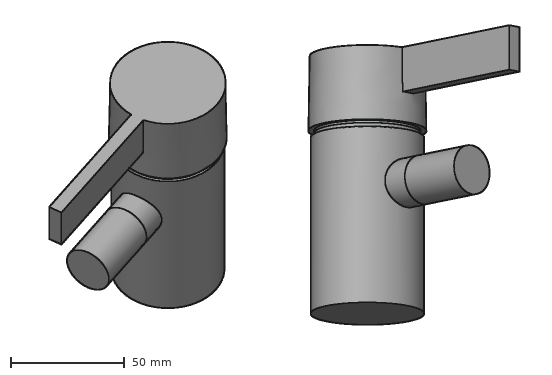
import cadquery as cq


housing_radius = 25.0
housing_height = 79.0
neck_radius = 23.6
neck_height = 1.9

total_height = 115.4
cap_bottom_radius = 26.0
cap_top_radius = 25.5
spigot_height = 1.1
neck_top = housing_height + neck_height
cap_bottom = neck_top + spigot_height
cap_height = total_height - cap_bottom

total_depth = 119.0
lever_width = 6.4
lever_height = 20.0
lever_reach = total_depth - cap_bottom_radius

spout_radius = 11.0
spout_axis_height = 55.0
socket_reach = 35.0
nozzle_reach = 66.0


def make_housing():
    """Plain cylinder with a narrower neck on top."""
    barrel = cq.Workplane("XY").circle(housing_radius).extrude(housing_height)
    return barrel.faces(">Z").workplane().circle(neck_radius).extrude(neck_height)


def make_lever_cap():
    """Tapered cap with a flat lever, and a short spigot standing on the neck."""
    spigot = cq.Workplane("XY").workplane(offset=neck_top).circle(neck_radius).extrude(spigot_height)
    cap = (
        cq.Workplane("XY")
        .workplane(offset=cap_bottom)
        .circle(cap_bottom_radius)
        .workplane(offset=cap_height)
        .circle(cap_top_radius)
        .loft(ruled=True)
    )
    lever = (
        cq.Workplane("XY")
        .workplane(offset=total_height - lever_height)
        .center(0, -lever_reach / 2)
        .rect(lever_width, lever_reach)
        .extrude(lever_height)
    )
    return cap.union(lever).union(spigot)


def spout_cylinder(start, end):
    """Cylinder on the spout axis between two distances from the housing axis."""
    axis_start = cq.Vector(0, -start, spout_axis_height)
    return cq.Workplane(cq.Solid.makeCylinder(spout_radius, end - start, axis_start, cq.Vector(0, -1, 0)))


def make_socket(housing):
    """Spout socket whose inner end is curved to sit against the housing."""
    return spout_cylinder(0, socket_reach).cut(housing)


def make_nozzle():
    """Outer length of the spout."""
    return spout_cylinder(socket_reach, nozzle_reach)


housing = make_housing()
lever_cap = make_lever_cap()
socket = make_socket(housing)
nozzle = make_nozzle()

bodies = [housing, lever_cap, socket, nozzle]
result = cq.Compound.makeCompound([solid for body in bodies for solid in body.solids().vals()])